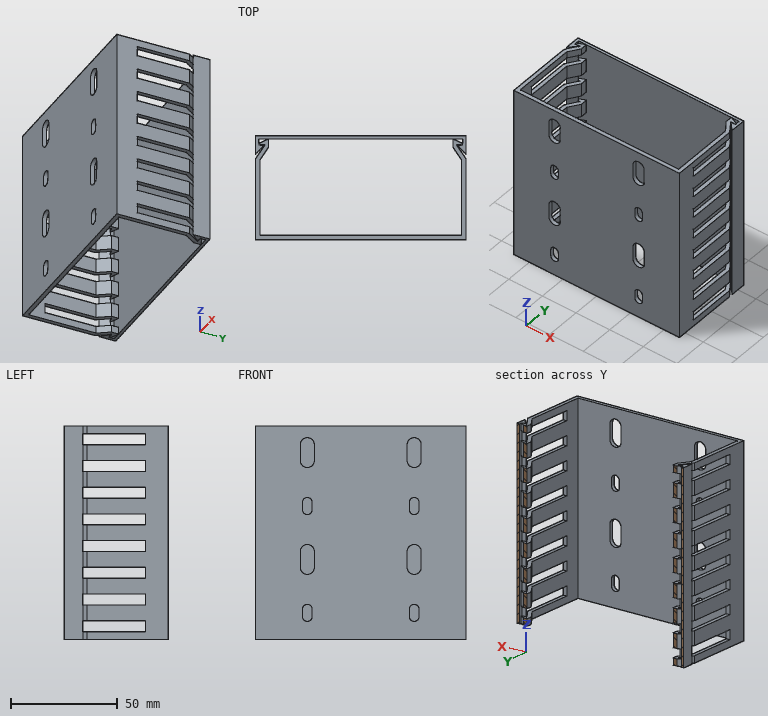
import cadquery as cq

WIDTH = 98.5
DEPTH = 48.8
LENGTH = 100.0
HALF_WIDTH = WIDTH / 2

TROUGH_WALL = 2.2
COVER_WALL = 1.6

SKIRT_DEPTH = 8.8
BARB_ROOT_DEPTH = 4.3
BARB_TIP_DEPTH = 4.7
BARB_REACH = 3.9

ARM_OUTER_DEPTH = 10.8
ARM_INNER_DEPTH = 11.3
HOOK_NOSE_DEPTH = 3.6
HOOK_THROAT = 4.4
HOOK_WIDTH = 6.2
HOOK_LAND = 0.3
HOOK_INNER_DEPTH = 5.4

SLOT_COUNT = 8
SLOT_PITCH = LENGTH / SLOT_COUNT
SLOT_HEIGHT = 5.0
SLOT_FLOOR_OFFSET = 10.8

HOLE_COLUMN_SPACING = 50.0
HOLE_ROW_COUNT = 4
HOLE_ROW_PITCH = LENGTH / HOLE_ROW_COUNT
LARGE_HOLE_LENGTH = 14.0
LARGE_HOLE_WIDTH = 6.6
SMALL_HOLE_LENGTH = 8.0
SMALL_HOLE_WIDTH = 4.5


def extrude_symmetric(left_half):
    """Extrude a profile made of a left half and its mirror image.

    Each point is (distance in from the left side, depth from the back face).
    """
    left = [(inset - HALF_WIDTH, DEPTH - depth) for inset, depth in left_half]
    right = [(-x, y) for x, y in reversed(left)]
    return cq.Workplane("XY").polyline(left + right).close().extrude(LENGTH)


def make_cover():
    return extrude_symmetric([
        (COVER_WALL, COVER_WALL),
        (COVER_WALL, BARB_ROOT_DEPTH),
        (BARB_REACH, BARB_TIP_DEPTH),
        (0, SKIRT_DEPTH),
        (0, 0),
    ])


def cut_finger_slots(trough):
    slot_depth = DEPTH - SLOT_FLOOR_OFFSET
    for index in range(SLOT_COUNT):
        slot = cq.Workplane("XY").box(WIDTH, slot_depth, SLOT_HEIGHT, centered=(True, False, True))
        trough = trough.cut(slot.translate((0, SLOT_FLOOR_OFFSET, (index + 0.5) * SLOT_PITCH)))
    return trough


def cut_mounting_holes(trough):
    for row in range(HOLE_ROW_COUNT):
        is_large = row % 2 == 1
        length = LARGE_HOLE_LENGTH if is_large else SMALL_HOLE_LENGTH
        width = LARGE_HOLE_WIDTH if is_large else SMALL_HOLE_WIDTH
        z = (row + 0.5) * HOLE_ROW_PITCH
        holes = (
            cq.Workplane("XZ")
            .pushPoints([(side * HOLE_COLUMN_SPACING / 2, z) for side in (-1, 1)])
            .slot2D(length, width, 90)
            .extrude(-TROUGH_WALL)
        )
        trough = trough.cut(holes)
    return trough


def make_trough():
    trough = extrude_symmetric([
        (TROUGH_WALL, DEPTH - TROUGH_WALL),
        (TROUGH_WALL, ARM_INNER_DEPTH),
        (HOOK_WIDTH, HOOK_INNER_DEPTH),
        (HOOK_WIDTH, COVER_WALL),
        (HOOK_WIDTH - HOOK_LAND, COVER_WALL),
        (COVER_WALL, HOOK_NOSE_DEPTH),
        (COVER_WALL, BARB_ROOT_DEPTH),
        (HOOK_THROAT, BARB_ROOT_DEPTH),
        (0, ARM_OUTER_DEPTH),
        (0, DEPTH),
    ])
    trough = cut_finger_slots(trough)
    return cut_mounting_holes(trough)


cover = make_cover()
trough = make_trough()
result = cq.Compound.makeCompound([cover.val(), trough.solids().val()])